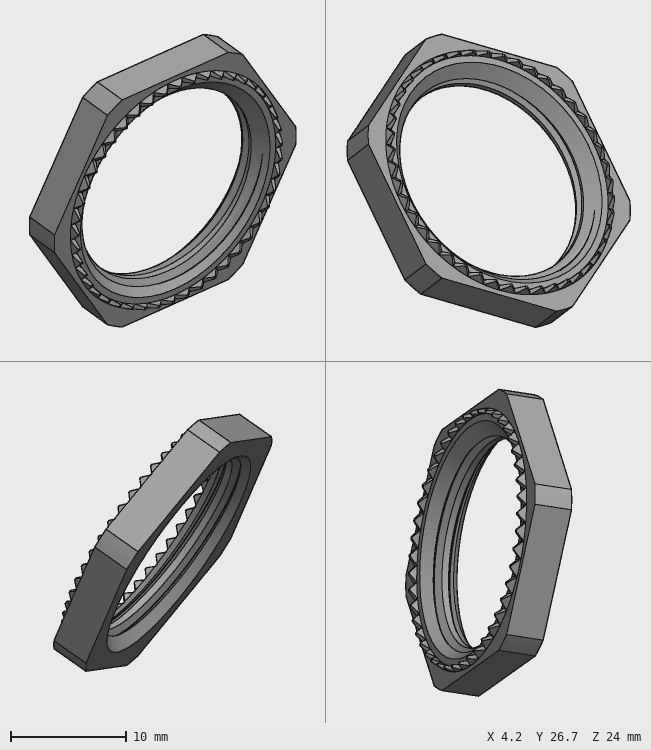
import cadquery as cq
import math

across_flats = 24.0
corner_diameter = 26.7
body_thickness = 3.5

bore_radius = 9.301
entry_radius = 10.3
exit_radius = 10.45

thread_pitch = 1.5
thread_root_radius = 10.0
thread_root_flat = 0.05
thread_half_angle = 30.0
thread_turns = 4
thread_start = -1.8
cutter_inset = 0.13

tooth_count = 45
tooth_height = 0.7
teeth_inner_radius = 11.08
teeth_base_radius = 11.55
teeth_tip_radius = 11.32
gap_half_angle = 45.0

axis = cq.Vector(0, 0, 1)
origin = cq.Vector(0, 0, 0)


def revolved(profile):
    """Turn a closed outline of (radius, height) points about the axis."""
    return cq.Workplane("XZ").polyline(profile).close().revolve(360, (0, 0, 0), (0, 1, 0))


def make_body():
    hexagon = cq.Workplane("XY").polygon(6, across_flats, circumscribed=True).extrude(body_thickness)
    corner_cylinder = cq.Workplane("XY").circle(corner_diameter / 2).extrude(body_thickness)
    return hexagon.intersect(corner_cylinder)


def make_bore():
    return revolved([
        (0, 0),
        (entry_radius, 0),
        (bore_radius, entry_radius - bore_radius),
        (bore_radius, body_thickness - (exit_radius - bore_radius)),
        (exit_radius, body_thickness),
        (0, body_thickness),
    ])


def make_groove_turn(center_height):
    """One full turn of the thread groove, closed from ruled helical faces and two flat ends."""
    inner_radius = bore_radius - cutter_inset
    root_half = thread_root_flat / 2
    flank_run = (thread_root_radius - inner_radius) * math.tan(math.radians(thread_half_angle))
    mouth_half = root_half + flank_run
    corners = [
        (inner_radius, -mouth_half),
        (thread_root_radius, -root_half),
        (thread_root_radius, root_half),
        (inner_radius, mouth_half),
    ]
    helices = [
        cq.Wire.makeHelix(thread_pitch, thread_pitch, radius, cq.Vector(0, 0, center_height + offset))
        for radius, offset in corners
    ]
    sides = [cq.Face.makeRuledSurface(helices[i - 1], helices[i]) for i in range(len(helices))]
    start_wire = cq.Wire.makePolygon([helix.startPoint() for helix in helices], close=True)
    end_wire = cq.Wire.makePolygon([helix.endPoint() for helix in helices], close=True)
    ends = [cq.Face.makeFromWires(start_wire), cq.Face.makeFromWires(end_wire)]
    return cq.Solid.makeSolid(cq.Shell.makeShell(sides + ends))


def cut_thread(nut):
    for turn in range(thread_turns):
        nut = nut.cut(make_groove_turn(thread_start + turn * thread_pitch))
    return nut


def make_teeth():
    ring = revolved([
        (teeth_inner_radius, 0),
        (teeth_base_radius, 0),
        (teeth_tip_radius, tooth_height),
        (teeth_inner_radius, tooth_height),
    ]).val()
    gap_half_width = tooth_height * math.tan(math.radians(gap_half_angle))
    ring_width = teeth_base_radius - teeth_inner_radius
    gap = (
        cq.Workplane("YZ", origin=(teeth_inner_radius - ring_width, 0, 0))
        .polyline([(0, 0), (gap_half_width, tooth_height), (-gap_half_width, tooth_height)])
        .close()
        .extrude(3 * ring_width)
        .val()
    )
    tooth_angle = 360 / tooth_count
    gaps = [gap.rotate(origin, axis, i * tooth_angle) for i in range(tooth_count)]
    return ring.cut(*gaps).translate(cq.Vector(0, 0, body_thickness))


nut_body = make_body().cut(make_bore()).val()
toothed_nut = cut_thread(nut_body).fuse(make_teeth())
result = cq.Workplane(obj=toothed_nut).rotate((0, 0, 0), (0, 1, 0), 90)